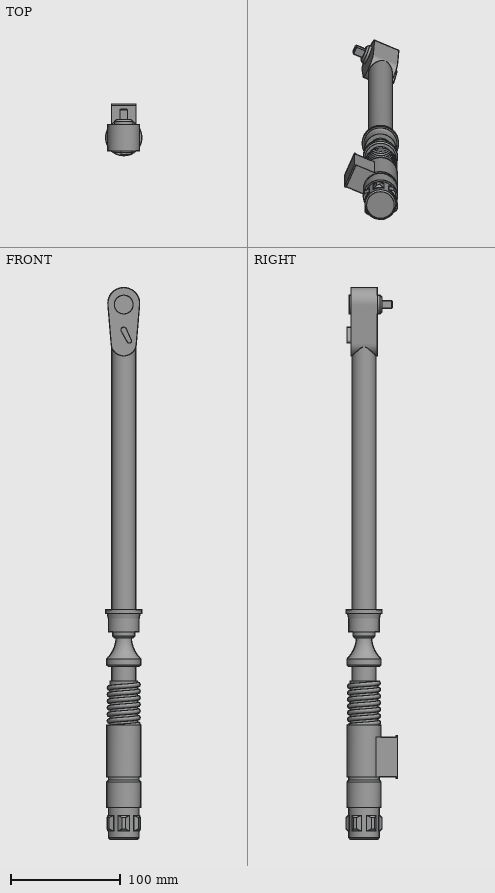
import cadquery as cq
import math

LENGTH = 502.5

HEAD_TOP_R = 14.5
HEAD_BOTTOM_R = 11.5
HEAD_BOTTOM_Z = 440.0
HEAD_DEPTH = 24.0
HEAD_FRONT_Y = -HEAD_DEPTH / 2
HEAD_BACK_Y = HEAD_DEPTH / 2
PIVOT_Z = 487.0

CAP_R = 8.5
CAP_HEIGHT = 1.5
LEVER_TOP = (0.0, 463.5)
LEVER_TOP_R = 2.5
LEVER_TIP = (5.0, 453.5)
LEVER_TIP_R = 2.0
LEVER_HEIGHT = 3.5

DRIVE_COLLAR_R = 8.5
DRIVE_COLLAR_HEIGHT = 4.5
DRIVE_COLLAR_CHAMFER = 2.0
DRIVE_SIDE = 7.0
DRIVE_END_Y = 26.0
DRIVE_CHAMFER = 1.0

EDGE_CHAMFER = 1.5

TUBE_R = 11.0
FLANGE_R = 16.5
FLANGE_TOP_Z = 209.0
FLANGE_BOTTOM_Z = 205.5
COLLAR_R = 14.0
COLLAR_TAPER_TOP_R = 15.0
COLLAR_TAPER_BOTTOM_Z = 201.0
COLLAR_BOTTOM_Z = 189.0
LIP_R = 10.0
LIP_BOTTOM_Z = 183.5
NECK_R = 7.0
FLARE_MIDDLE = (9.0, 174.0)
BELL_R = 15.5
BELL_TOP_Z = 164.5
BELL_BOTTOM_Z = 157.0
COIL_TOP_Z = 144.0
GRIP_TOP_Z = 104.0
GRIP_R = 15.5
GROOVE_R = 14.0
GROOVE_TOP_Z = 57.0
GROOVE_BOTTOM_Z = 54.0
GRIP_BOTTOM_Z = 29.0
KNOB_R = 14.0
KNOB_CHAMFER = 1.5

COIL_CORE_R = 12.5
COIL_OUTER_R = 15.0
COIL_PITCH = 6.0
COIL_WIRE_R = 2.0
COIL_START_ANGLE = 200

LUG_COUNT = 6
LUG_OUTER_R = 16.5
LUG_ROOT_R = 13.5
LUG_TIP_WIDTH = 3.0
LUG_ROOT_WIDTH = 10.0
LUG_BOTTOM_Z = 7.5
LUG_TOP_Z = 21.5
LUG_CHAMFER = 2.0

BRACKET_WIDTH = 22.5
BRACKET_HEIGHT = 36.0
BRACKET_CENTER_Z = 75.0
PLATE_HEIGHT = 39.0
PLATE_THICKNESS = 1.5
PLATE_BACK_Y = 30.5


def cylinder_along_y(radius, z, y_start, height):
    """Cylinder centered on X = 0 that grows toward +Y from y_start."""
    plane = cq.Plane(origin=(0, y_start, z), xDir=(1, 0, 0), normal=(0, 1, 0))
    return cq.Workplane(plane).circle(radius).extrude(height)


def tapered_link(start, start_r, end, end_r, y_start, depth):
    """Plate lying in XZ whose outline wraps two circles with straight tangents."""
    dx = end[0] - start[0]
    dz = end[1] - start[1]
    heading = math.atan2(dz, dx)
    spread = math.acos((start_r - end_r) / math.hypot(dx, dz))

    def on_circle(center, radius, angle):
        return (center[0] + radius * math.cos(angle), center[1] + radius * math.sin(angle))

    plane = cq.Plane(origin=(0, y_start + depth, 0), xDir=(1, 0, 0), normal=(0, -1, 0))
    return (
        cq.Workplane(plane)
        .moveTo(*on_circle(start, start_r, heading + spread))
        .threePointArc(
            on_circle(start, start_r, heading + math.pi),
            on_circle(start, start_r, heading - spread),
        )
        .lineTo(*on_circle(end, end_r, heading - spread))
        .threePointArc(
            on_circle(end, end_r, heading),
            on_circle(end, end_r, heading + spread),
        )
        .close()
        .extrude(depth)
    )


def turned_body():
    """Tube, collars, bell, handle and knob as one solid of revolution."""
    tube_top_z = HEAD_BOTTOM_Z + HEAD_BOTTOM_R
    profile = (
        cq.Workplane("XZ")
        .moveTo(0, tube_top_z)
        .lineTo(TUBE_R, tube_top_z)
        .lineTo(TUBE_R, FLANGE_TOP_Z)
        .lineTo(FLANGE_R, FLANGE_TOP_Z)
        .lineTo(FLANGE_R, FLANGE_BOTTOM_Z)
        .lineTo(COLLAR_TAPER_TOP_R, FLANGE_BOTTOM_Z)
        .lineTo(COLLAR_R, COLLAR_TAPER_BOTTOM_Z)
        .lineTo(COLLAR_R, COLLAR_BOTTOM_Z)
        .lineTo(LIP_R, COLLAR_BOTTOM_Z)
        .lineTo(LIP_R, LIP_BOTTOM_Z + EDGE_CHAMFER)
        .lineTo(LIP_R - EDGE_CHAMFER, LIP_BOTTOM_Z)
        .lineTo(NECK_R, LIP_BOTTOM_Z)
        .threePointArc(FLARE_MIDDLE, (BELL_R, BELL_TOP_Z))
        .lineTo(BELL_R, BELL_BOTTOM_Z + EDGE_CHAMFER)
        .lineTo(BELL_R - EDGE_CHAMFER, BELL_BOTTOM_Z)
        .lineTo(TUBE_R, BELL_BOTTOM_Z)
        .lineTo(TUBE_R, COIL_TOP_Z)
        .lineTo(COIL_CORE_R, COIL_TOP_Z)
        .lineTo(COIL_CORE_R, GRIP_TOP_Z)
        .lineTo(GRIP_R, GRIP_TOP_Z)
        .lineTo(GRIP_R, GROOVE_TOP_Z)
        .lineTo(GROOVE_R, GROOVE_TOP_Z)
        .lineTo(GROOVE_R, GROOVE_BOTTOM_Z)
        .lineTo(GRIP_R, GROOVE_BOTTOM_Z - EDGE_CHAMFER)
        .lineTo(GRIP_R, GRIP_BOTTOM_Z)
        .lineTo(KNOB_R, GRIP_BOTTOM_Z)
        .lineTo(KNOB_R, KNOB_CHAMFER)
        .lineTo(KNOB_R - KNOB_CHAMFER, 0)
        .lineTo(0, 0)
        .close()
    )
    return profile.revolve(360, (0, 0, 0), (0, 1, 0))


def coil():
    """Round rib winding up the upper handle; its lower end is buried in the grip."""
    start_z = GRIP_TOP_Z - COIL_WIRE_R
    height = COIL_TOP_Z - COIL_WIRE_R - start_z
    helix_r = COIL_OUTER_R - COIL_WIRE_R
    path = cq.Wire.makeHelix(COIL_PITCH, height, helix_r)
    section = cq.Workplane("XZ").center(helix_r, 0).circle(COIL_WIRE_R)
    rib = section.sweep(cq.Workplane(path), isFrenet=True)
    return rib.rotate((0, 0, 0), (0, 0, 1), COIL_START_ANGLE).translate((0, 0, start_z))


def knob_lugs():
    """Wedge-shaped lugs, trimmed by a ring with sloping ends."""
    height = LUG_TOP_Z - LUG_BOTTOM_Z
    ring_inner_r = KNOB_R / 2
    ring = (
        cq.Workplane("XZ")
        .polyline([
            (ring_inner_r, LUG_BOTTOM_Z),
            (LUG_OUTER_R - LUG_CHAMFER, LUG_BOTTOM_Z),
            (LUG_OUTER_R, LUG_BOTTOM_Z + LUG_CHAMFER),
            (LUG_OUTER_R, LUG_TOP_Z - LUG_CHAMFER),
            (LUG_OUTER_R - LUG_CHAMFER, LUG_TOP_Z),
            (ring_inner_r, LUG_TOP_Z),
        ])
        .close()
        .revolve(360, (0, 0, 0), (0, 1, 0))
    )
    wedge = (
        cq.Workplane("XY", origin=(0, 0, LUG_BOTTOM_Z))
        .polyline([
            (-LUG_ROOT_WIDTH / 2, 0),
            (LUG_ROOT_WIDTH / 2, 0),
            (LUG_ROOT_WIDTH / 2, LUG_ROOT_R),
            (LUG_TIP_WIDTH / 2, LUG_OUTER_R),
            (-LUG_TIP_WIDTH / 2, LUG_OUTER_R),
            (-LUG_ROOT_WIDTH / 2, LUG_ROOT_R),
        ])
        .close()
        .extrude(height)
    )
    lug = wedge.intersect(ring)
    lugs = lug
    for index in range(1, LUG_COUNT):
        lugs = lugs.union(lug.rotate((0, 0, 0), (0, 0, 1), index * 360 / LUG_COUNT))
    return lugs


def bracket():
    """Block from the handle axis toward +Y, closed by the end plate."""
    block = cq.Workplane("XY").box(
        BRACKET_WIDTH, PLATE_BACK_Y, BRACKET_HEIGHT, centered=(True, False, True)
    )
    plate = (
        cq.Workplane("XY", origin=(0, PLATE_BACK_Y - PLATE_THICKNESS, 0))
        .box(BRACKET_WIDTH, PLATE_THICKNESS, PLATE_HEIGHT, centered=(True, False, True))
    )
    return block.union(plate).translate((0, 0, BRACKET_CENTER_Z))


def head():
    """Ratchet head with its cap, reversing lever and square drive."""
    link = tapered_link(
        (0, LENGTH - HEAD_TOP_R), HEAD_TOP_R,
        (0, HEAD_BOTTOM_Z + HEAD_BOTTOM_R), HEAD_BOTTOM_R,
        HEAD_FRONT_Y, HEAD_DEPTH,
    )
    cap = cylinder_along_y(CAP_R, PIVOT_Z, HEAD_FRONT_Y - CAP_HEIGHT, CAP_HEIGHT)
    lever = tapered_link(
        LEVER_TOP, LEVER_TOP_R, LEVER_TIP, LEVER_TIP_R,
        HEAD_FRONT_Y - LEVER_HEIGHT, LEVER_HEIGHT,
    )
    collar = (
        cylinder_along_y(DRIVE_COLLAR_R, PIVOT_Z, HEAD_BACK_Y, DRIVE_COLLAR_HEIGHT)
        .faces(">Y")
        .chamfer(DRIVE_COLLAR_CHAMFER)
    )
    drive = (
        cq.Workplane("XY", origin=(0, HEAD_BACK_Y, PIVOT_Z))
        .box(DRIVE_SIDE, DRIVE_END_Y - HEAD_BACK_Y, DRIVE_SIDE, centered=(True, False, True))
        .faces(">Y")
        .chamfer(DRIVE_CHAMFER)
    )
    return link.union(cap).union(lever).union(collar).union(drive)


result = turned_body().union(coil()).union(knob_lugs()).union(bracket()).union(head())